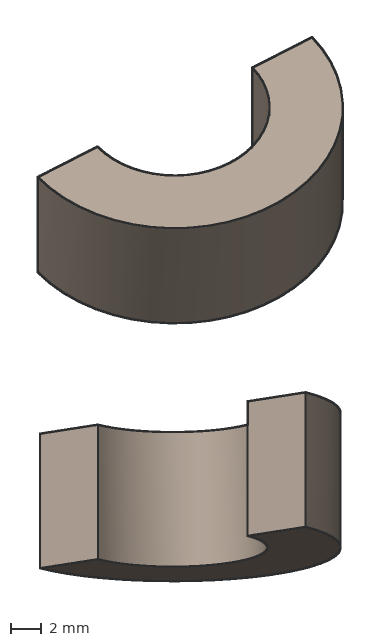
import cadquery as cq

outer_diameter = 22.0
bore_diameter = 12.4
height = 9.0

outer_radius = outer_diameter / 2
bore_radius = bore_diameter / 2

profile = (
    cq.Workplane("XY")
    .moveTo(0, -outer_radius)
    .threePointArc((outer_radius, 0), (0, outer_radius))
    .lineTo(0, bore_radius)
    .threePointArc((bore_radius, 0), (0, -bore_radius))
    .close()
)

result = profile.extrude(height)